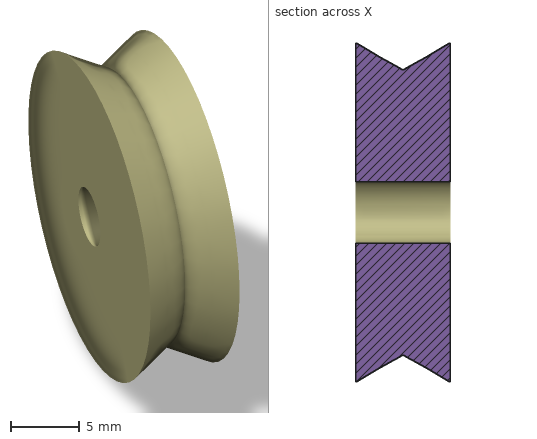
import cadquery as cq
import math

rim_diameter = 25.0
width = 7.0
bore_diameter = 4.5
groove_angle = 120.0

rim_radius = rim_diameter / 2
bore_radius = bore_diameter / 2
half_width = width / 2
groove_depth = half_width / math.tan(math.radians(groove_angle / 2))
groove_radius = rim_radius - groove_depth

section = (
    cq.Workplane("XY")
    .moveTo(bore_radius, -half_width)
    .lineTo(rim_radius, -half_width)
    .lineTo(groove_radius, 0)
    .lineTo(rim_radius, half_width)
    .lineTo(bore_radius, half_width)
    .close()
)

result = section.revolve(360, (0, 0, 0), (0, 1, 0))